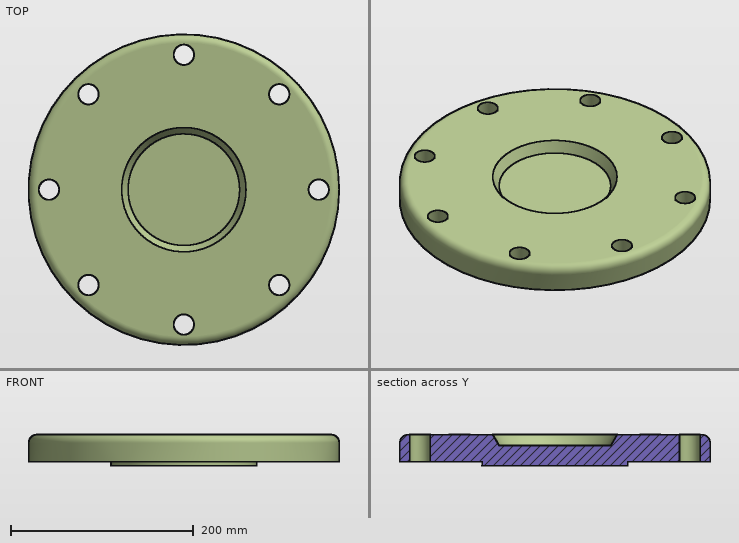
import cadquery as cq

disc_diameter = 340.0
disc_thickness = 30.0
rim_radius = 9.0

face_diameter = 159.8
overall_height = 34.25
face_height = overall_height - disc_thickness

recess_top_diameter = 136.0
recess_floor_diameter = 122.0
recess_depth = 12.0

bolt_hole_diameter = 22.0
bolt_circle_diameter = 295.0
bolt_count = 8


def make_disc():
    """Flat disc standing on Z = 0, with a rounded upper rim."""
    disc = cq.Workplane("XY").circle(disc_diameter / 2).extrude(disc_thickness)
    return disc.faces(">Z").edges().fillet(rim_radius)


def make_raised_face():
    """Round raised face hanging below the disc."""
    return cq.Workplane("XY").circle(face_diameter / 2).extrude(-face_height)


def make_recess():
    """Conical cutter that narrows from the disc top to the recess floor."""
    return (
        cq.Workplane("XY", origin=(0, 0, disc_thickness))
        .circle(recess_top_diameter / 2)
        .workplane(offset=-recess_depth)
        .circle(recess_floor_diameter / 2)
        .loft(ruled=True)
    )


def make_bolt_holes():
    """Ring of through-hole cutters, the first one on the +X axis."""
    return (
        cq.Workplane("XY")
        .polarArray(bolt_circle_diameter / 2, 0, 360, bolt_count)
        .circle(bolt_hole_diameter / 2)
        .extrude(disc_thickness)
    )


result = make_disc().union(make_raised_face()).cut(make_recess()).cut(make_bolt_holes())